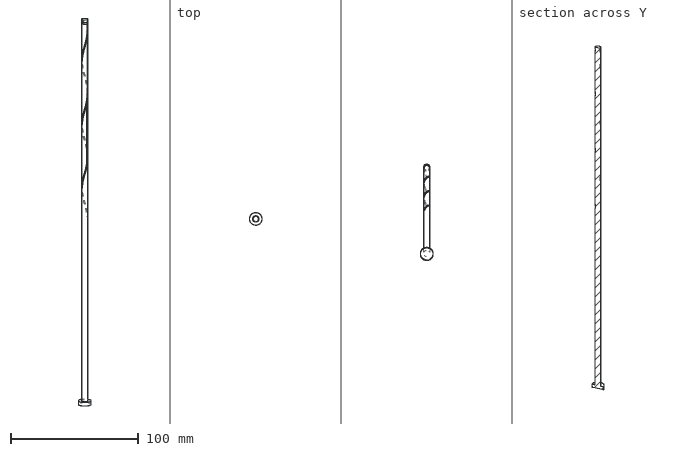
import cadquery as cq

length = 315.0
head_diameter = 10.0
head_height = 3.0
shaft_diameter = 5.0

tip_height = 2.0
ring_width = 1.5
ring_depth = 0.5

spiral_pitch = 52.0
spiral_turns = 3
spiral_bottom = 155.0
spiral_start_angle = 90.0
spiral_axial_width = 3.0
spiral_depth = 0.5

head_radius = head_diameter / 2
shaft_radius = shaft_diameter / 2
ring_bottom = length - tip_height - ring_width
spiral_height = spiral_turns * spiral_pitch


def make_pin():
    head = cq.Workplane("XY").circle(head_radius).extrude(head_height)
    shaft = cq.Workplane("XY").circle(shaft_radius).extrude(length)
    return head.union(shaft)


def make_ring_cutter():
    return (
        cq.Workplane("XY", origin=(0, 0, ring_bottom))
        .circle(head_radius)
        .circle(shaft_radius - ring_depth)
        .extrude(ring_width)
    )


def make_spiral_cutter():
    helix = cq.Wire.makeHelix(spiral_pitch, spiral_height, shaft_radius)
    return (
        cq.Workplane("XZ", origin=(shaft_radius, 0, 0))
        .rect(2 * spiral_depth, spiral_axial_width)
        .sweep(cq.Workplane(obj=helix), isFrenet=True)
        .rotate((0, 0, 0), (0, 0, 1), spiral_start_angle)
        .translate((0, 0, spiral_bottom))
    )


result = make_pin().cut(make_spiral_cutter()).cut(make_ring_cutter())